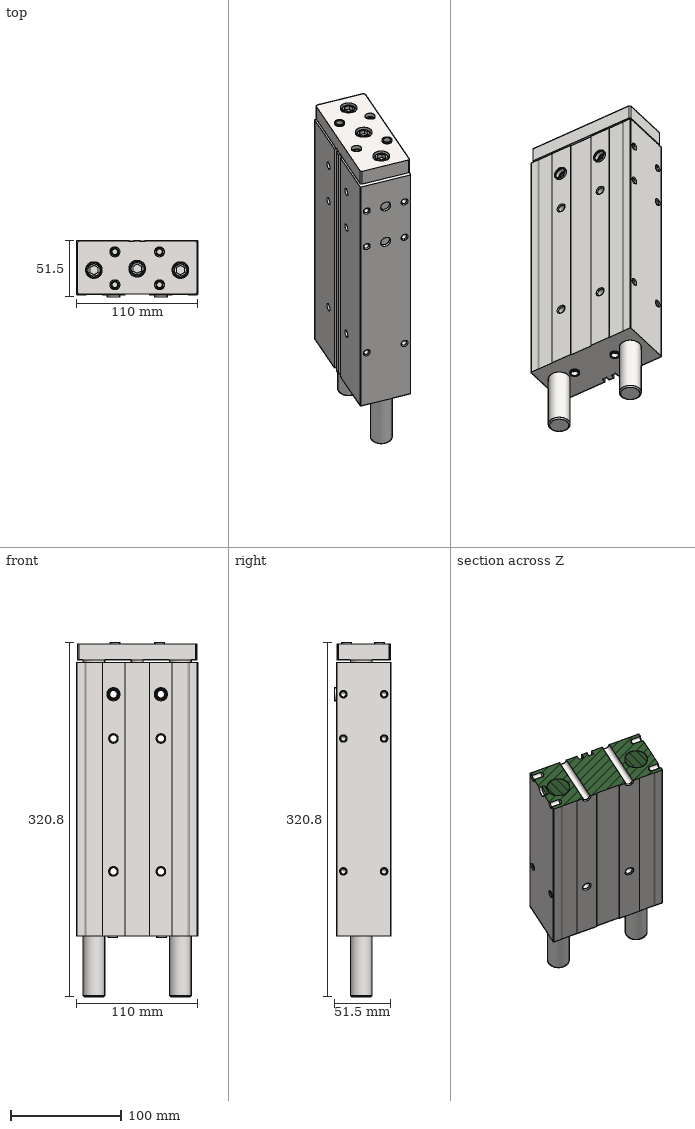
import cadquery as cq
import math

total_height = 320.8
small_sleeve_protrusion = 1.3
rod_overhang = 55.0
housing_height = 248.0
plate_gap = 2.2
housing_bottom = rod_overhang
housing_top = housing_bottom + housing_height
plate_bottom = housing_top + plate_gap
plate_top = total_height - small_sleeve_protrusion

housing_width = 110.0
housing_depth = 49.5
housing_edge_chamfer = 0.5
front_face = -housing_depth / 2
back_face = housing_depth / 2
left_face = -housing_width / 2

recess_outer = 47.0
recess_slope = 1.0
side_recess_depth = 0.15
pad_inner = 11.2
pad_outer = 31.5
centre_recess_depth = 0.5

sensor_slot_spacing = 10.0
sensor_slot_width = 4.5
sensor_slot_depth = 4.2

row_drops = (29.0, 69.0, 189.3)
row_heights = [housing_top - drop for drop in row_drops]
front_hole_spacing = 43.0
front_hole_diameter = 6.7
front_hole_mouth = 8.7
side_hole_spacing = 37.0
side_hole_diameter = 4.8
side_hole_mouth = 6.7
side_hole_depth = 9.5
drill_point_angle = 118.0

plug_diameter = 9.5
plug_recess = 2.5
plug_length = 2.5

guide_diameter = 20.0
guide_spacing = 78.3
guide_y = -2.2
guide_end_chamfer = 1.3
piston_rod_diameter = 11.0
piston_rod_y = -1.0
piston_rod_insertion = 64.0
plate_width = 108.0
plate_depth = 48.0
plate_edge_chamfer = 1.3
screw_bore_diameter = 15.0
screw_head_diameter = 13.0
screw_head_chamfer = 1.12
screw_bore_depth = 6.5
screw_head_drop = 1.0
socket_corner_diameter = 8.7
socket_depth = 4.0
plate_hole_spacing_x = 40.5
plate_hole_spacing_y = 29.8
plate_hole_y = -0.5
plate_hole_diameter = 5.0
plate_hole_mouth = 6.7

small_sleeve_outer = 9.0
small_sleeve_inner = 6.7
large_sleeve_outer = 12.0
large_sleeve_inner = 10.0
large_sleeve_protrusion = 2.0
sleeve_seat_depth = 4.0
bottom_sleeve_spacing = 44.3

guide_points = [(side * guide_spacing / 2, guide_y) for side in (-1, 1)]
piston_point = (0, piston_rod_y)
side_hole_rows = [side * side_hole_spacing / 2 for side in (-1, 1)]
front_columns = [side * front_hole_spacing / 2 for side in (-1, 1)]
plate_hole_points = [
    (i * plate_hole_spacing_x / 2, plate_hole_y + j * plate_hole_spacing_y / 2)
    for i in (-1, 1)
    for j in (-1, 1)
]
downward = cq.Vector(0, 0, -1)
upward = cq.Vector(0, 0, 1)
inward_y = cq.Vector(0, 1, 0)
inward_x = cq.Vector(1, 0, 0)

first_hole, last_hole = plate_hole_points[0], plate_hole_points[-1]

top_sleeve_points = [cq.Vector(*hole, plate_top) for hole in (first_hole, last_hole)]
bottom_sleeve_points = [
    cq.Vector(side * bottom_sleeve_spacing / 2, guide_y, housing_bottom) for side in (-1, 1)
]
front_sleeve_points = [cq.Vector(x, front_face, row_heights[0]) for x in front_columns]
plug_points = [cq.Vector(left_face, 0, z) for z in row_heights[:2]]


def cylinder(diameter, length, start, direction):
    return cq.Workplane(cq.Solid.makeCylinder(diameter / 2, length, start, direction))


def cone(mouth, bottom, length, start, direction):
    return cq.Workplane(cq.Solid.makeCone(mouth / 2, bottom / 2, length, start, direction))


def sleeve(outer, inner, protrusion, seat, inward):
    """Ring seated in a face at the point seat, standing proud of that face."""
    start = seat - inward * protrusion
    length = protrusion + sleeve_seat_depth
    return cylinder(outer, length, start, inward).cut(cylinder(inner, length, start, inward))


def make_small_sleeve(seat, inward):
    return sleeve(small_sleeve_outer, small_sleeve_inner, small_sleeve_protrusion, seat, inward)


def make_large_sleeve(seat):
    return sleeve(large_sleeve_outer, large_sleeve_inner, large_sleeve_protrusion, seat, inward_y)


def chamfered_hole(diameter, mouth, length, start, inward):
    """Straight hole widened by a 45 degree chamfer where it starts."""
    chamfer = (mouth - diameter) / 2
    return cylinder(diameter, length, start, inward).union(
        cone(mouth, diameter, chamfer, start, inward)
    )


def housing_blank():
    return (
        cq.Workplane("XY", origin=(0, 0, housing_bottom))
        .rect(housing_width, housing_depth)
        .extrude(housing_height)
        .edges("|Z")
        .chamfer(housing_edge_chamfer)
    )


def front_recess():
    """Recess between sloped sides, with two flush pads and a deeper channel between the pads."""
    side_floor = front_face + side_recess_depth
    centre_floor = front_face + centre_recess_depth
    right_half = [
        (0, centre_floor),
        (pad_inner, centre_floor),
        (pad_inner, front_face),
        (pad_outer, front_face),
        (pad_outer, side_floor),
        (recess_outer - recess_slope, side_floor),
        (recess_outer, front_face),
    ]
    left_half = [(-x, y) for x, y in reversed(right_half[1:])]
    return (
        cq.Workplane("XY", origin=(0, 0, housing_bottom))
        .polyline(left_half + right_half)
        .close()
        .extrude(housing_height)
    )


def sensor_slots():
    return (
        cq.Workplane("XY", origin=(0, 0, housing_bottom))
        .pushPoints([(side * sensor_slot_spacing / 2, back_face) for side in (-1, 1)])
        .rect(sensor_slot_width, 2 * sensor_slot_depth)
        .extrude(housing_height)
    )


def side_hole(side, y, z):
    """Blind drilled hole in a side face, chamfered at the mouth and pointed at the end."""
    start = cq.Vector(side * housing_width / 2, y, z)
    inward = cq.Vector(-side, 0, 0)
    tip = side_hole_diameter / 2 / math.tan(math.radians(drill_point_angle / 2))
    hole = chamfered_hole(side_hole_diameter, side_hole_mouth, side_hole_depth, start, inward)
    return hole.union(cone(side_hole_diameter, 0, tip, start + inward * side_hole_depth, inward))


def make_housing():
    body = housing_blank().cut(front_recess()).cut(sensor_slots())
    for x in front_columns:
        for z in row_heights:
            start = cq.Vector(x, front_face, z)
            if z == row_heights[0]:
                start += inward_y * sleeve_seat_depth
            body = body.cut(
                chamfered_hole(front_hole_diameter, front_hole_mouth, housing_depth, start, inward_y)
            )
    for side in (-1, 1):
        for y in side_hole_rows:
            for z in row_heights:
                body = body.cut(side_hole(side, y, z))
    for x, y in guide_points:
        start = cq.Vector(x, y, housing_bottom)
        body = body.cut(cylinder(guide_diameter, housing_height, start, upward))
    piston_end = cq.Vector(*piston_point, housing_top)
    body = body.cut(cylinder(piston_rod_diameter, piston_rod_insertion, piston_end, downward))
    for seat in front_sleeve_points:
        body = body.cut(cylinder(large_sleeve_outer, sleeve_seat_depth, seat, inward_y))
    for seat in bottom_sleeve_points:
        body = body.cut(cylinder(small_sleeve_outer, sleeve_seat_depth, seat, upward))
    for mouth in plug_points:
        body = body.cut(cylinder(plug_diameter, plug_recess + plug_length, mouth, inward_x))
    return body


def make_port_plug(mouth):
    return cylinder(plug_diameter, plug_length, mouth + inward_x * plug_recess, inward_x)


def screw_bore(x, y):
    """Clearance round and above a screw head, together with the head's hexagon socket."""
    bore = cylinder(screw_bore_diameter, screw_bore_depth, cq.Vector(x, y, plate_top), downward)
    head_length = screw_bore_depth - screw_head_drop
    head_top = cq.Vector(x, y, plate_top - screw_head_drop)
    head = cylinder(screw_head_diameter, head_length, head_top, downward)
    head = head.faces(">Z").chamfer(screw_head_chamfer)
    socket = (
        cq.Workplane("XY", origin=head_top.toTuple())
        .transformed(rotate=(0, 0, 30))
        .polygon(6, socket_corner_diameter)
        .extrude(-socket_depth)
    )
    return bore.cut(head.cut(socket))


def make_moving_unit():
    """End plate in one piece with the two guide rods, the piston rod and the three screw heads."""
    body = (
        cq.Workplane("XY", origin=(0, 0, plate_bottom))
        .rect(plate_width, plate_depth)
        .extrude(plate_top - plate_bottom)
        .edges("|Z")
        .chamfer(plate_edge_chamfer)
    )
    for x, y in guide_points:
        rod = cylinder(guide_diameter, plate_bottom, cq.Vector(x, y, 0), upward)
        body = body.union(rod.faces("<Z").chamfer(guide_end_chamfer))
    piston_start = cq.Vector(*piston_point, plate_bottom)
    piston_length = plate_gap + piston_rod_insertion
    body = body.union(cylinder(piston_rod_diameter, piston_length, piston_start, downward))
    for x, y in [*guide_points, piston_point]:
        body = body.cut(screw_bore(x, y))
    for x, y in plate_hole_points:
        mouth = cq.Vector(x, y, plate_top)
        hole_start = mouth + downward * sleeve_seat_depth
        hole_length = plate_top - plate_bottom - sleeve_seat_depth
        body = body.cut(
            chamfered_hole(plate_hole_diameter, plate_hole_mouth, hole_length, hole_start, downward)
        )
        body = body.cut(cylinder(small_sleeve_outer, sleeve_seat_depth, mouth, downward))
    return body


housing = make_housing()
moving_unit = make_moving_unit()
port_plugs = [make_port_plug(mouth) for mouth in plug_points]
top_sleeves = [make_small_sleeve(seat, downward) for seat in top_sleeve_points]
bottom_sleeves = [make_small_sleeve(seat, upward) for seat in bottom_sleeve_points]
front_sleeves = [make_large_sleeve(seat) for seat in front_sleeve_points]

small_bodies = [*port_plugs, *top_sleeves, *bottom_sleeves, *front_sleeves]
result = cq.Compound.makeCompound([
    housing.val(),
    moving_unit.val(),
    *[body.val() for body in small_bodies],
])